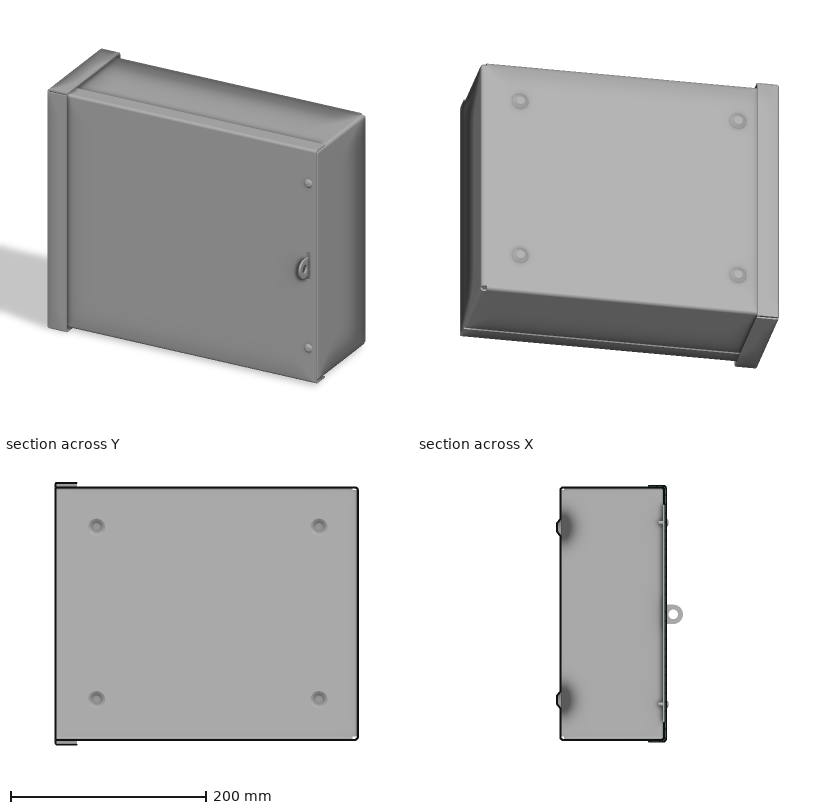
import cadquery as cq
import math


LENGTH = 311.2
SHEET = 1.5

HOOD_LENGTH = 23.0
HOOD_HEIGHT = 269.8
HOOD_BACK = SHEET
HOOD_DEPTH = 117.0
HOOD_BEND = 2.5
HOOD_NOTCH = 2.2

COVER_FRONT = -109.5
COVER_HEIGHT = 263.2
COVER_FLANGE = 18.7
COVER_BEND = 2.8

BOX_BEND = 3.7
BOX_LIP = 18.7
RELIEF_LENGTH = 6.0
RELIEF_DEPTH = 5.0

FOOT_X = (43.0, 270.7)
FOOT_Z = 88.5
FOOT_HEIGHT = 3.5
FOOT_BASE_RADIUS = 8.7
FOOT_TOP_RADIUS = 4.5

SCREW_X = 302.0
SCREW_Z = 93.0
SCREW_HEAD_DIAMETER = 9.5
SCREW_HEAD_HEIGHT = 2.5
SCREW_SHANK_DIAMETER = 3.7
SCREW_SHANK_LENGTH = 7.8
CROSS_LENGTH = 5.5
CROSS_WIDTH = 1.2
CROSS_DEPTH = 1.5

SLOT_LEFT = 299.5
SLOT_WIDTH = 4.7
SLOT_HEIGHT = 31.0
HASP_THICKNESS = 2.2
HASP_RADIUS = 10.0
HASP_HOLE_DIAMETER = 9.5
HASP_TIP = -126.5
HASP_Z = -1.0

COVER_INNER = COVER_FRONT + SHEET
BOX_HEIGHT = COVER_HEIGHT - 2 * SHEET
BOX_DEPTH = -COVER_INNER
OVERLAP = 3.0


def block(x_min, x_max, y_min, y_max, height):
    """Box between the given X and Y limits, centred on Z = 0."""
    size = (x_max - x_min, y_max - y_min, height)
    centre = ((x_min + x_max) / 2, (y_min + y_max) / 2, 0)
    return cq.Workplane("XY").box(*size).translate(centre)


def cylinder_along_y(diameter, x, y_min, y_max, z):
    """Round bar parallel to Y."""
    start = cq.Vector(x, y_min, z)
    return cq.Workplane(cq.Solid.makeCylinder(diameter / 2, y_max - y_min, start, cq.Vector(0, 1, 0)))


def screw_places():
    """X and Z of each cover screw."""
    return [(SCREW_X, z) for z in (-SCREW_Z, SCREW_Z)]


def foot():
    """Conical dimple standing on the plane Y = 0."""
    start = cq.Vector(0, 0, 0)
    axis = cq.Vector(0, 1, 0)
    return cq.Workplane(cq.Solid.makeCone(FOOT_BASE_RADIUS, FOOT_TOP_RADIUS, FOOT_HEIGHT, start, axis))


def make_box():
    """Hollow tray with bent edges, a lip around its front opening and an open hooded end."""
    outer = block(SHEET, LENGTH, -BOX_DEPTH, 0, BOX_HEIGHT).edges("|X or >X").fillet(BOX_BEND)
    inner = block(0, LENGTH - SHEET, SHEET - BOX_DEPTH, -SHEET, BOX_HEIGHT - 2 * SHEET)
    inner = inner.edges("|X or >X").fillet(BOX_BEND - SHEET)
    box = outer.cut(inner)

    opening = block(0, LENGTH - BOX_LIP, -BOX_DEPTH - OVERLAP, -BOX_DEPTH / 2, BOX_HEIGHT - 2 * BOX_LIP)
    box = box.cut(opening)

    for x in FOOT_X:
        for z in (-FOOT_Z, FOOT_Z):
            box = box.union(foot().translate((x, 0, z)))
            box = box.cut(foot().translate((x, -SHEET, z)))

    relief = cq.Workplane("XY").box(2 * RELIEF_LENGTH, 2 * RELIEF_DEPTH, 2 * BOX_BEND)
    for z in (-BOX_HEIGHT / 2, BOX_HEIGHT / 2):
        box = box.cut(relief.translate((LENGTH, 0, z)))

    for x, z in screw_places():
        box = box.cut(cylinder_along_y(SCREW_SHANK_DIAMETER, x, -BOX_DEPTH - OVERLAP, -BOX_DEPTH + OVERLAP, z))
    return box


def make_cover():
    """Channel over the front of the box, with screw holes and the hasp slot."""
    back = COVER_FRONT + COVER_FLANGE
    cover = block(SHEET, LENGTH, COVER_FRONT, back, COVER_HEIGHT).edges("|X and <Y").fillet(COVER_BEND)
    channel = block(0, LENGTH + OVERLAP, COVER_INNER, back + OVERLAP, BOX_HEIGHT)
    cover = cover.cut(channel.edges("|X and <Y").fillet(COVER_BEND - SHEET))

    cut_start = COVER_FRONT - OVERLAP
    cut_end = COVER_INNER + OVERLAP
    for x, z in screw_places():
        cover = cover.cut(cylinder_along_y(SCREW_SHANK_DIAMETER, x, cut_start, cut_end, z))
    slot = block(SLOT_LEFT, SLOT_LEFT + SLOT_WIDTH, cut_start, cut_end, SLOT_HEIGHT)
    return cover.cut(slot)


def make_hood():
    """Cap with bent end edges that closes the end of the box and overhangs the cover."""
    front = HOOD_BACK - HOOD_DEPTH
    outer = block(0, HOOD_LENGTH, front, HOOD_BACK, HOOD_HEIGHT).faces("<X").edges().fillet(HOOD_BEND)
    cavity = block(SHEET, HOOD_LENGTH + OVERLAP, front + SHEET, 0, HOOD_HEIGHT - 2 * SHEET)
    hood = outer.cut(cavity)

    front_notch = cq.Workplane("XY").box(2 * HOOD_LENGTH, 2 * HOOD_NOTCH, 2 * HOOD_NOTCH)
    back_notch = cq.Workplane("XY").box(2 * HOOD_LENGTH, 2 * HOOD_BACK, 2 * HOOD_NOTCH)
    for z in (-HOOD_HEIGHT / 2, HOOD_HEIGHT / 2):
        hood = hood.cut(front_notch.translate((HOOD_LENGTH / 2, front, z)))
        hood = hood.cut(back_notch.translate((HOOD_LENGTH / 2, HOOD_BACK, z)))
    return hood


def make_screw(x, z):
    """Domed screw with a cross recess, its head seated on the cover."""
    head_radius = SCREW_HEAD_DIAMETER / 2
    dome_radius = (head_radius ** 2 + SCREW_HEAD_HEIGHT ** 2) / (2 * SCREW_HEAD_HEIGHT)
    half_angle = math.asin(head_radius / dome_radius) / 2
    dome_centre = SCREW_HEAD_HEIGHT - dome_radius
    dome_middle = (dome_radius * math.sin(half_angle), -dome_centre - dome_radius * math.cos(half_angle))
    screw = (
        cq.Workplane("XY")
        .moveTo(0, -SCREW_HEAD_HEIGHT)
        .threePointArc(dome_middle, (head_radius, 0))
        .lineTo(SCREW_SHANK_DIAMETER / 2, 0)
        .lineTo(SCREW_SHANK_DIAMETER / 2, SCREW_SHANK_LENGTH)
        .lineTo(0, SCREW_SHANK_LENGTH)
        .close()
        .revolve(360, (0, 0, 0), (0, 1, 0))
    )
    arm = cq.Workplane("XY").box(CROSS_LENGTH, 2 * CROSS_DEPTH, CROSS_WIDTH)
    arm = arm.translate((0, -SCREW_HEAD_HEIGHT, 0))
    for angle in (45, 135):
        screw = screw.cut(arm.rotate((0, 0, 0), (0, 1, 0), angle))
    return screw.translate((x, COVER_FRONT, z))


def make_hasp():
    """Round-ended tongue with a padlock hole, standing on the box lip and passing through the slot."""
    eye_y = HASP_TIP + HASP_RADIUS
    hasp = (
        cq.Workplane("YZ")
        .moveTo(COVER_INNER, HASP_RADIUS)
        .lineTo(eye_y, HASP_RADIUS)
        .threePointArc((HASP_TIP, 0), (eye_y, -HASP_RADIUS))
        .lineTo(COVER_INNER, -HASP_RADIUS)
        .close()
        .extrude(HASP_THICKNESS)
    )
    hole = cq.Workplane("YZ").center(eye_y, 0).circle(HASP_HOLE_DIAMETER / 2).extrude(HASP_THICKNESS)
    return hasp.cut(hole).translate((SLOT_LEFT, 0, HASP_Z))


box = make_box()
cover = make_cover()
hood = make_hood()
screws = [make_screw(x, z) for x, z in screw_places()]
hasp = make_hasp()

result = cq.Compound.makeCompound([
    box.val(),
    cover.val(),
    hood.val(),
    *[screw.val() for screw in screws],
    hasp.val(),
])